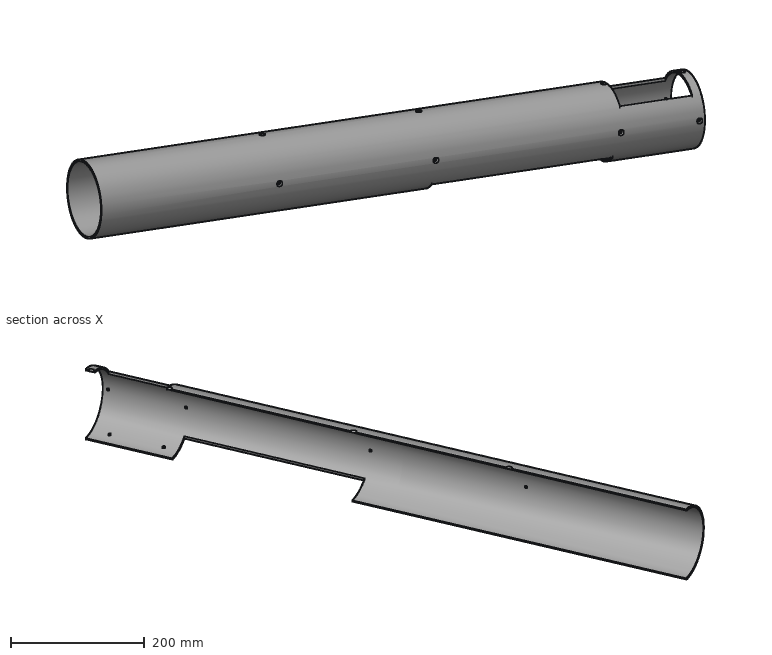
import cadquery as cq

length = 1000.0
outer_diameter = 120.0
wall = 3.0
outer_radius = outer_diameter / 2
end_y = length / 2

top_window_start = 15.0
top_window_length = 120.0
top_window_width = 94.0
bottom_window_start = 144.0
bottom_window_length = 300.0
bottom_window_width = 82.0

screw_diameter = 4.0
screw_head_diameter = 9.0
screw_distances = (9.0, 139.0, 446.0, 705.0)

mount_diameter = 4.0
mount_half_spacing = 20.0
mount_distances = (30.0, 120.0)


def make_tube():
    profile = cq.Workplane("XZ").circle(outer_radius).circle(outer_radius - wall)
    return profile.extrude(end_y, both=True)


def window_cutter(start, window_length, width, side):
    """Block from the tube axis out through the top (side = 1) or bottom (side = -1) wall."""
    centre_y = end_y - start - window_length / 2
    block = cq.Workplane("XY").box(width, window_length, outer_radius)
    return block.translate((0, centre_y, side * outer_radius / 2))


def screw_cutter(distance, direction):
    """Cone through one wall, widest at the outer surface, pointing out along direction."""
    axis = cq.Vector(*direction)
    base = axis * (outer_radius - wall) + cq.Vector(0, end_y - distance, 0)
    return cq.Solid.makeCone(screw_diameter / 2, screw_head_diameter / 2, wall, base, axis)


def mount_cutter(x, distance):
    base = cq.Vector(x, end_y - distance, 0)
    return cq.Solid.makeCylinder(mount_diameter / 2, outer_radius, base, cq.Vector(0, 0, -1))


result = make_tube()
result = result.cut(window_cutter(top_window_start, top_window_length, top_window_width, 1))
result = result.cut(window_cutter(bottom_window_start, bottom_window_length, bottom_window_width, -1))

for screw_distance in screw_distances:
    for outward in ((0, 0, 1), (-1, 0, 0), (1, 0, 0)):
        result = result.cut(cq.Workplane(screw_cutter(screw_distance, outward)))

for mount_distance in mount_distances:
    for mount_x in (-mount_half_spacing, mount_half_spacing):
        result = result.cut(cq.Workplane(mount_cutter(mount_x, mount_distance)))